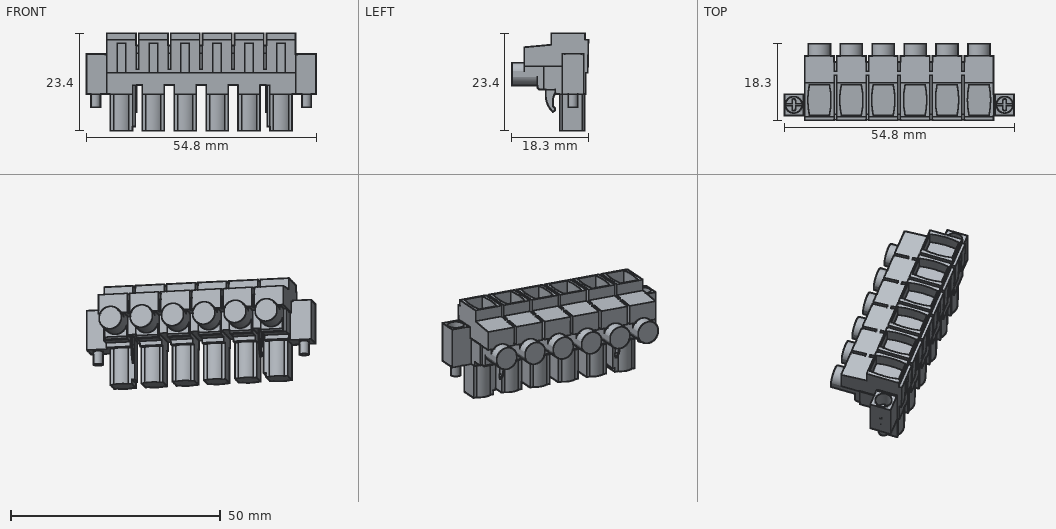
import cadquery as cq

pole_count = 6
pitch = 7.6
pole_width = 7.0
slot_width = pitch - pole_width
pole_xs = [(i - (pole_count - 1) / 2) * pitch for i in range(pole_count)]
gap_xs = [x + pitch / 2 for x in pole_xs[:-1]]
total_length = 54.8
housing_half = pole_xs[-1] + pole_width / 2

total_height = 23.35
lip_top = 21.8
lip_bottom = 13.85
lip_taper = 0.15
front_y = 0.65
crown_front = 0.8
crown_back = 8.95
roof_front_z = 20.6
roof_back_z = 20.0
housing_back = 15.4
overhang_z = 15.4
body_back = 10.75
base_z = 8.75
heel_z = 9.85
heel_y = 7.95

slot_step_y = 1.5
slot_shelf_z = 18.5
slot_floor_z = 14.75
wall_back = 11.8
web_back = 13.95
gap_top = 10.95
end_recess = 0.3
end_recess_front = 6.3

groove_width = 2.0
groove_top = 20.85
groove_floor_y = 0.5
pocket_end_width = 4.75
pocket_mid_width = 5.55
pocket_front = 1.2
pocket_back = 8.55
pocket_depth = 3.25

insert_width = 5.3
gap_width = pitch - insert_width
post_front = 1.5
post_back = 6.3
post_radius = 3.0
rib_width = 0.65
rib_front = 3.1
rib_bottom = 1.05
hook_thickness = 0.35
hook_back = 10.25
hook_bend_z = 8.75
hook_back_mid = (9.7, 6.15)
hook_tip = (8.5, 4.5)
barb_y = 8.0
barb_bottom = 4.95
barb_top = 5.5
barb_shoulder_z = 5.8
hook_throat_y = 8.45
hook_throat_top = 7.65
hook_front_mid = (8.25, 8.3)
hook_root_z = 9.05

flange_width = 4.5
flange_front = 1.15
flange_back = 6.3
flange_top = 18.4
neck_drop = 0.2
screw_x = total_length / 2 - flange_width / 2
screw_y = 3.7
head_radius = 1.95
head_top = 14.0
head_height = 2.75
shank_radius = 1.15
shank_tip = 5.65
drive_depth = 0.55
drive_slot_width = 0.5
drive_cross_width = 0.8
drive_cross_length = 2.85

entry_back = 18.3
entry_radius = 2.75
entry_z = 13.6
entry_block_back = 12.2
entry_chamfer = 0.45


def block(x0, x1, y0, y1, z0, z1):
    """Box between two opposite corners."""
    return cq.Workplane("XY").box(x1 - x0, y1 - y0, z1 - z0, centered=False).translate((x0, y0, z0))


def centred_block(x, width, y0, y1, z0, z1):
    """Box centred on one X position."""
    return block(x - width / 2, x + width / 2, y0, y1, z0, z1)


def upright_cylinder(x, radius, z0, z1):
    """Cylinder along Z on a flange screw axis."""
    return cq.Workplane("XY").center(x, screw_y).circle(radius).extrude(z1 - z0).translate((0, 0, z0))


def housing_shell():
    """Stepped side profile run along the whole row."""
    outline = [
        (front_y, base_z),
        (front_y, lip_bottom),
        (lip_taper, lip_bottom),
        (0, lip_top),
        (crown_front, lip_top),
        (crown_front, total_height),
        (crown_back, total_height),
        (crown_back, roof_front_z),
        (housing_back, roof_back_z),
        (housing_back, overhang_z),
        (body_back, overhang_z),
        (body_back, heel_z),
        (heel_y, heel_z),
        (heel_y, base_z),
    ]
    shell = cq.Workplane("YZ").polyline(outline).close().extrude(2 * housing_half)
    return shell.translate((-housing_half, 0, 0))


def pole_gap(x):
    """Everything removed between two neighbouring poles."""
    upper = centred_block(x, slot_width, slot_step_y, body_back, slot_shelf_z, total_height)
    front = centred_block(x, slot_width, 0, slot_step_y, slot_floor_z, total_height)
    rear = centred_block(x, slot_width, wall_back, housing_back, slot_shelf_z, total_height)
    back_notch = centred_block(x, slot_width, web_back, housing_back, overhang_z, total_height)
    lower = centred_block(x, gap_width, 0, body_back, 0, gap_top)
    return upper.union(front).union(rear).union(back_notch).union(lower)


def top_pocket(x):
    """Barrel-shaped screwdriver pocket in the top of one pole."""
    end = pocket_end_width / 2
    bow = pocket_mid_width / 2
    middle = (pocket_front + pocket_back) / 2
    return (
        cq.Workplane("XY", origin=(x, 0, total_height - pocket_depth))
        .moveTo(-end, pocket_front)
        .lineTo(end, pocket_front)
        .threePointArc((bow, middle), (end, pocket_back))
        .lineTo(-end, pocket_back)
        .threePointArc((-bow, middle), (-end, pocket_front))
        .close()
        .extrude(pocket_depth)
    )


def plug_post(x):
    """Flat-sided post with rounded front and back, hanging below one pole."""
    middle = (post_front + post_back) / 2
    core = centred_block(x, insert_width, post_front, post_back, 0, base_z)
    width_limit = centred_block(x, insert_width, 0, body_back, 0, base_z)
    round_part = cq.Workplane("XY").center(x, middle).circle(post_radius).extrude(base_z)
    return core.union(round_part.intersect(width_limit))


def flange(side):
    """Screw flange with its narrow neck; side is -1 or 1."""
    outer = total_length / 2
    inner = outer - flange_width
    ear = block(inner, outer, flange_front, flange_back, base_z, flange_top)
    neck = block(housing_half, inner, flange_front, flange_back, base_z, flange_top - neck_drop)
    head_hole = upright_cylinder(screw_x, head_radius, head_top - head_height, flange_top)
    shank_hole = upright_cylinder(screw_x, shank_radius, base_z, head_top)
    right_flange = ear.union(neck).cut(head_hole).cut(shank_hole)
    return right_flange if side > 0 else right_flange.mirror("YZ")


def latch(side):
    """Coding rib and latch hook in the outermost pole gap; side is -1 or 1."""
    rib_x = pole_xs[0] + insert_width / 2
    hook_x = rib_x + rib_width
    rib = block(rib_x, hook_x, rib_front, post_back, rib_bottom, gap_top)
    hook = (
        cq.Workplane("YZ", origin=(hook_x, 0, 0))
        .moveTo(hook_back, gap_top)
        .lineTo(hook_back, hook_bend_z)
        .threePointArc(hook_back_mid, hook_tip)
        .lineTo(barb_y, barb_bottom)
        .lineTo(barb_y, barb_top)
        .lineTo(hook_throat_y, barb_shoulder_z)
        .lineTo(hook_throat_y, hook_throat_top)
        .threePointArc(hook_front_mid, (heel_y, hook_root_z))
        .lineTo(heel_y, gap_top)
        .close()
        .extrude(hook_thickness)
    )
    left_latch = rib.union(hook)
    return left_latch if side < 0 else left_latch.mirror("YZ")


def make_housing():
    """Six-pole housing with posts, latches and screw flanges."""
    body = housing_shell()
    for x in gap_xs:
        body = body.cut(pole_gap(x))
    for x in pole_xs:
        body = body.cut(centred_block(x, groove_width, 0, groove_floor_y, lip_bottom, groove_top))
        body = body.cut(top_pocket(x))
        body = body.union(plug_post(x))
    recess_x = housing_half - end_recess / 2
    for side in (-1, 1):
        body = body.cut(
            centred_block(side * recess_x, end_recess, end_recess_front, body_back, base_z, overhang_z)
        )
        body = body.union(flange(side)).union(latch(side))
    return body


def make_screw(x):
    """Flange screw with a slot and a short cross in its head."""
    drive_bottom = head_top - drive_depth
    head = upright_cylinder(x, head_radius, head_top - head_height, head_top)
    shank = upright_cylinder(x, shank_radius, shank_tip, head_top - head_height)
    slot = cq.Workplane("XY").box(
        2 * head_radius, drive_slot_width, drive_depth, centered=(True, True, False)
    )
    cross = (
        cq.Workplane("XY")
        .slot2D(drive_cross_length, drive_cross_width, angle=90)
        .extrude(drive_depth)
    )
    drive = slot.union(cross).translate((x, screw_y, drive_bottom))
    return head.union(shank).cut(drive)


def make_wire_entry(x):
    """Round wire entry with flat sides and a square block under the housing overhang."""
    tube = cq.Workplane("XZ").center(x, entry_z).circle(entry_radius).extrude(body_back - entry_back)
    tube = tube.translate((0, body_back, 0))
    tube = tube.intersect(centred_block(x, insert_width, body_back, entry_back, 0, total_height))
    filler = centred_block(x, insert_width, body_back, housing_back, entry_z, overhang_z)
    heel = centred_block(x, insert_width, body_back, entry_block_back, heel_z, overhang_z)
    heel = heel.edges(">Y and <Z").chamfer(entry_chamfer)
    above_overhang = block(x - pitch, x + pitch, body_back, housing_back, overhang_z, total_height)
    return tube.union(filler).union(heel).cut(above_overhang)


housing = make_housing()
screws = [make_screw(side * screw_x) for side in (-1, 1)]
wire_entries = [make_wire_entry(x) for x in pole_xs]

bodies = [housing, *screws, *wire_entries]
result = cq.Compound.makeCompound([body.solids().val() for body in bodies])